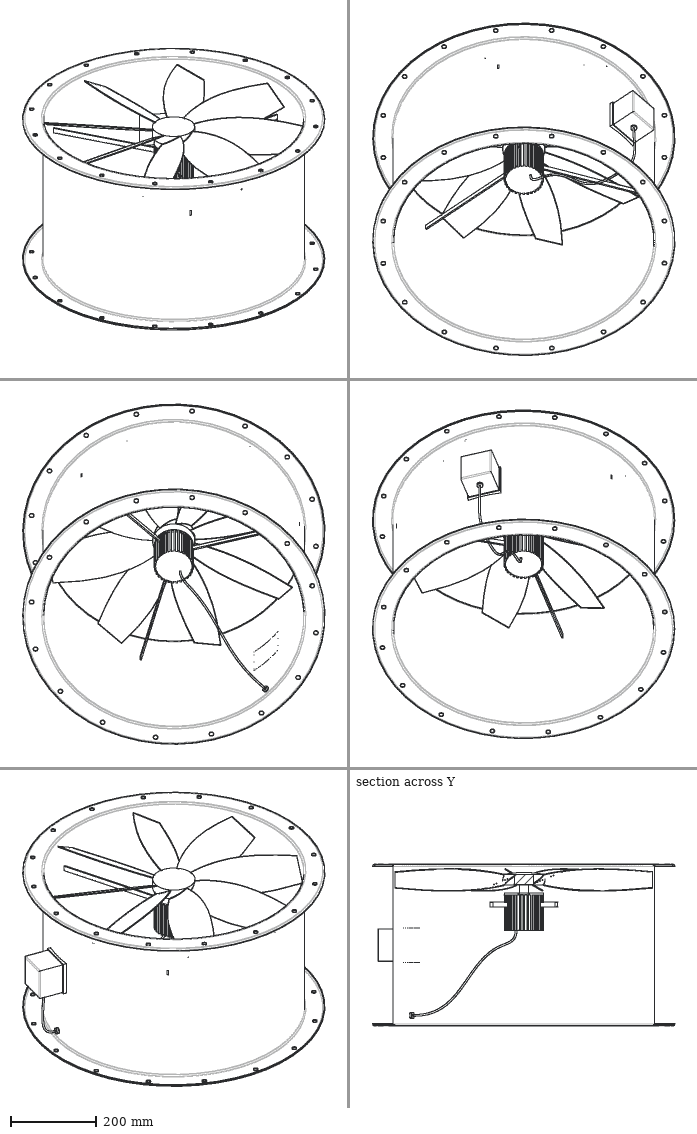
import cadquery as cq
import math

casing_height = 380.0
sheet_thickness = 2.0
flange_radius = 355.0
lip_height = 6.0
bend_radius = 5.0
bore_radius = 305.0
casing_radius = bore_radius + sheet_thickness
bolt_circle_radius = 336.5
bolt_hole_diameter = 11.0
bolt_count = 16

strut_count = 3
first_strut_angle = 90.0
strut_thickness = 3.5
strut_height = 12.0
strut_top = 291.0

motor_radius = 46.0
core_radius = 42.5
cover_thickness = 4.0
fin_count = 30
fin_thickness = 3.5
motor_top = 312.5
motor_bottom = 224.0
shaft_radius = 11.0

hub_radius = 50.0
hub_bottom = 331.5
hub_rim = 356.0
dome_height = 5.0
blade_count = 8
blade_pitch = 30.0
blade_thickness = 2.0
blade_level = 343.0
blade_root = 46.0
blade_tip = 302.5
blade_edge = [(blade_root, 25.0), (96.5, 42.0), (176.0, 51.0), (241.5, 47.0), (blade_tip, 37.0)]

box_angle = 150.0
box_level = casing_height / 2
base_size = 81.0
base_face = 313.0
box_width = 75.0
box_height = 76.0
box_face = 375.0
box_fillet = 3.0

cable_radius = 2.0
cable_top_reach = 343.5
cable_bulge = (346.5, 69.5)
cable_entry_level = 25.0
entry_straight = 8.5
cable_inner_bend = (61.0, 188.0)
cable_motor_reach = 21.0
gland_radius = 7.0
gland_length = 4.0


def vertical_cylinder(radius, bottom, top):
    return cq.Workplane("XY").workplane(offset=bottom).circle(radius).extrude(top - bottom)


def at_box_angle(shape):
    return shape.rotate((0, 0, 0), (0, 0, 1), box_angle)


def radial_cylinder(radius, start, end, level):
    """Cylinder that points outward along +X at the given level."""
    return cq.Workplane("YZ", origin=(start, 0, level)).circle(radius).extrude(end - start)


def make_casing():
    middle = casing_height / 2
    top = casing_height
    underside = top - sheet_thickness
    bend_level = top - bend_radius
    lip_bottom = top - lip_height
    lip_inside = flange_radius - sheet_thickness
    flat_start = bore_radius + bend_radius
    flat_end = flange_radius - bend_radius

    upper_half = (
        cq.Workplane("XZ")
        .moveTo(-bore_radius, middle)
        .lineTo(-bore_radius, bend_level)
        .tangentArcPoint((-flat_start, top), relative=False)
        .lineTo(-flat_end, top)
        .tangentArcPoint((-flange_radius, bend_level), relative=False)
        .lineTo(-flange_radius, lip_bottom)
        .lineTo(-lip_inside, lip_bottom)
        .lineTo(-lip_inside, bend_level)
        .tangentArcPoint((-flat_end, underside), relative=False)
        .lineTo(-flat_start, underside)
        .tangentArcPoint((-casing_radius, bend_level), relative=False)
        .lineTo(-casing_radius, middle)
        .close()
        .revolve(360, (0, 0, 0), (0, 1, 0))
    )
    lower_half = upper_half.mirror("XY", (0, 0, middle))
    bolt_holes = (
        cq.Workplane("XY")
        .polarArray(bolt_circle_radius, 0, 360, bolt_count)
        .circle(bolt_hole_diameter / 2)
        .extrude(top)
    )
    cable_hole = at_box_angle(radial_cylinder(cable_radius, bore_radius - 7, casing_radius + 7, cable_entry_level))
    casing = upper_half.union(lower_half).cut(bolt_holes).cut(cable_hole)
    for i in range(strut_count):
        casing = casing.union(make_strut(first_strut_angle + i * 360 / strut_count))
    return casing


def make_strut(angle):
    wall_middle = (bore_radius + casing_radius) / 2
    bar = cq.Workplane("XY", origin=(0, 0, strut_top - strut_height)).box(
        wall_middle, strut_thickness, strut_height, centered=(False, True, False)
    )
    bar = bar.cut(vertical_cylinder(motor_radius, motor_bottom, motor_top))
    return bar.rotate((0, 0, 0), (0, 0, 1), angle)


def make_motor():
    cover_bottom = motor_top - cover_thickness
    core = vertical_cylinder(core_radius, motor_bottom, cover_bottom)
    cover = vertical_cylinder(motor_radius, cover_bottom, motor_top)
    shaft = vertical_cylinder(shaft_radius, motor_top, hub_bottom)

    fins = (
        cq.Workplane("XY", origin=(0, 0, motor_bottom))
        .polarArray(motor_radius / 2, first_strut_angle, 360, fin_count)
        .rect(motor_radius, fin_thickness)
        .extrude(cover_bottom - motor_bottom, combine=False)
        .intersect(vertical_cylinder(motor_radius, motor_bottom, cover_bottom))
    )
    return core.union(fins).union(cover).union(shaft)


def make_blade(angle):
    leading_edge = blade_edge
    trailing_edge = [(reach, -half_chord) for reach, half_chord in reversed(blade_edge)]
    return (
        cq.Workplane("XY")
        .moveTo(*leading_edge[0])
        .spline(leading_edge[1:], includeCurrent=True)
        .lineTo(*trailing_edge[0])
        .spline(trailing_edge[1:], includeCurrent=True)
        .close()
        .extrude(blade_thickness / 2, both=True)
        .rotate((0, 0, 0), (1, 0, 0), blade_pitch)
        .translate((0, 0, blade_level))
        .rotate((0, 0, 0), (0, 0, 1), angle)
    )


def make_impeller():
    dome_radius = (hub_radius**2 + dome_height**2) / (2 * dome_height)
    dome_center = hub_rim + dome_height - dome_radius
    half_angle = math.asin(hub_radius / dome_radius) / 2
    dome_middle = (dome_radius * math.sin(half_angle), dome_center + dome_radius * math.cos(half_angle))
    impeller = (
        cq.Workplane("YZ")
        .moveTo(0, hub_bottom)
        .lineTo(hub_radius, hub_bottom)
        .lineTo(hub_radius, hub_rim)
        .threePointArc(dome_middle, (0, hub_rim + dome_height))
        .close()
        .revolve(360, (0, 0, 0), (0, 1, 0))
    )
    for i in range(blade_count):
        impeller = impeller.union(make_blade(i * 360 / blade_count))
    return impeller


def make_box_base():
    plate = cq.Workplane("XY", origin=(0, 0, box_level)).box(
        base_face, base_size, base_size, centered=(False, True, True)
    )
    return at_box_angle(plate.cut(vertical_cylinder(casing_radius, 0, casing_height)))


def make_terminal_box():
    box = (
        cq.Workplane("XY", origin=(base_face, 0, box_level))
        .box(box_face - base_face, box_width, box_height, centered=(False, True, True))
        .faces(">X")
        .edges()
        .fillet(box_fillet)
    )
    return at_box_angle(box)


def make_cable():
    cable_top = box_level - box_height / 2
    outer_end = (casing_radius + entry_straight, cable_entry_level)
    inner_end = (bore_radius - entry_straight, cable_entry_level)
    path = (
        cq.Workplane("XZ")
        .moveTo(cable_top_reach, cable_top)
        .spline([cable_bulge, outer_end], tangents=[(0, -1), (-1, 0)], includeCurrent=True)
        .lineTo(*inner_end)
        .spline(
            [cable_inner_bend, (cable_motor_reach, motor_bottom)],
            tangents=[(-1, 0), (0, 1)],
            includeCurrent=True,
        )
    )
    cable = (
        cq.Workplane("XY", origin=(cable_top_reach, 0, cable_top))
        .circle(cable_radius)
        .sweep(path, transition="round")
    )

    box_gland = vertical_cylinder(gland_radius, cable_top - gland_length, cable_top)
    box_gland = box_gland.translate((cable_top_reach, 0, 0))
    wall_gland = radial_cylinder(
        gland_radius, bore_radius - gland_length, casing_radius + gland_length, cable_entry_level
    )
    wall = vertical_cylinder(casing_radius, 0, casing_height).cut(vertical_cylinder(bore_radius, 0, casing_height))
    cable = cable.union(box_gland).union(wall_gland.cut(wall))
    return at_box_angle(cable)


casing = make_casing()
motor = make_motor()
impeller = make_impeller()
box_base = make_box_base()
terminal_box = make_terminal_box()
cable = make_cable()

result = cq.Compound.makeCompound(
    [casing.val(), motor.val(), impeller.val(), box_base.val(), terminal_box.val(), cable.val()]
)